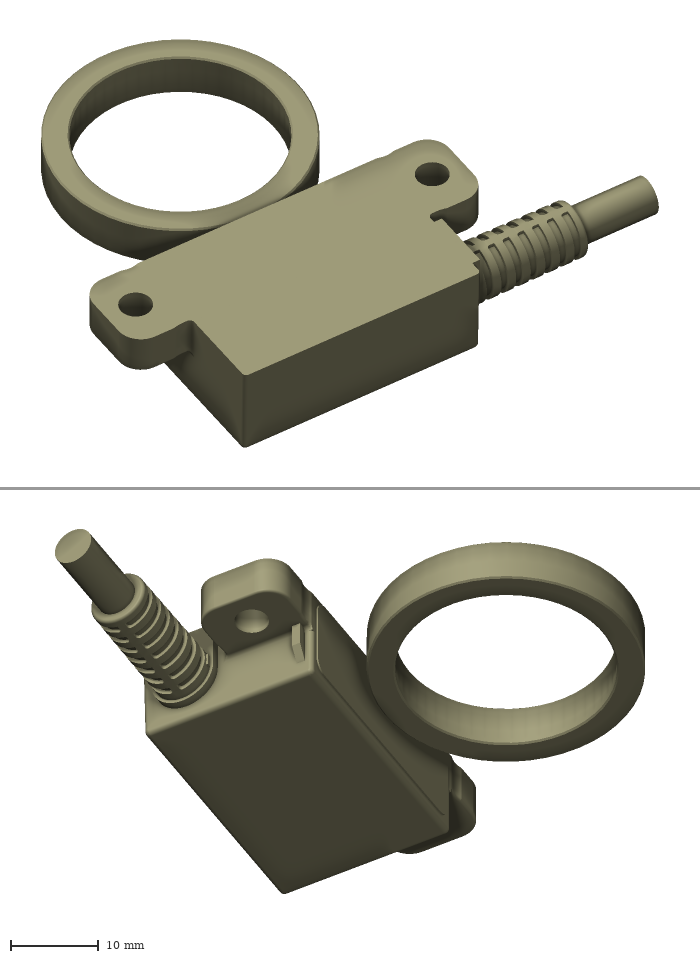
import cadquery as cq
import math


RING_OUTER_DIAMETER = 31.7
RING_INNER_DIAMETER = 25.3
RING_HEIGHT = 5.55
RING_BOTTOM = 5.4
RING_CHAMFER = 0.2

BLOCK_LEFT = 16.3
BLOCK_WIDTH = 22.3
BLOCK_HALF_LENGTH = 15.95
BLOCK_HEIGHT = 12.0
BLOCK_DRAFT = 0.25
BLOCK_CORNER_FILLET = 0.5
BLOCK_BOTTOM_FILLET = 0.65
BLOCK_RIGHT = BLOCK_LEFT + BLOCK_WIDTH

PANEL_LENGTH = 30.0
PANEL_HEIGHT = 10.45
PANEL_BOTTOM = 1.25
PANEL_THICKNESS = 0.2
PANEL_CORNER_RADIUS = 1.7

EAR_WIDTH = 11.25
EAR_THICKNESS = 4.95
EAR_SPAN = 48.0
EAR_TIP = EAR_SPAN / 2
EAR_CORNER_RADIUS = 3.0
EAR_EDGE_FILLET = 0.3
EAR_ROOT_FILLET = 0.6
EAR_RIGHT = BLOCK_LEFT + EAR_WIDTH
EAR_BOTTOM = BLOCK_HEIGHT - EAR_THICKNESS
NECK_LENGTH = 2.25
NECK_DEPTH = 0.2
NECK_OUTER = 18.4
NECK_MIDDLE = NECK_OUTER - NECK_LENGTH / 2
NECK_INNER = NECK_OUTER - NECK_LENGTH
MOUNT_HOLE_DIAMETER = 4.0
MOUNT_HOLE_SPACING = 40.05
MOUNT_HOLE_X = BLOCK_LEFT + EAR_WIDTH / 2

RIB_LEFT = 17.3
RIB_WIDTH = 1.05
RIB_DEPTH = 1.05
RIB_SLOPE_TOP = 4.05
RIB_SLOPE_BOTTOM = 2.1

CABLE_X = 32.7
CABLE_Z = 6.0
CABLE_RADIUS = 2.4
OVERALL_LENGTH = 66.2
CABLE_END = OVERALL_LENGTH - EAR_TIP
COLLAR_RADIUS = 4.05
COLLAR_LENGTH = 1.05
COLLAR_FACE = BLOCK_HALF_LENGTH + COLLAR_LENGTH
BOOT_END = 32.1
BOOT_END_RADIUS = 3.5
BOOT_BASE_RADIUS = 3.65
BOOT_CORE_RADIUS = 3.1
BOOT_END_FILLET = 0.4

GROOVE_COUNT = 7
GROOVE_WIDTH = 1.0
GROOVE_PITCH = 2 * GROOVE_WIDTH
GROOVE_END_INSET = 1.0
GROOVE_WEB = 0.9
GROOVE_CORNER_RADIUS = 0.4
GROOVE_REACH = 2 * BOOT_BASE_RADIUS

KEY_LENGTH = 0.5
KEY_HEIGHT = 1.5
KEY_PROUD = 0.2
KEY_OFFSET = 0.3


def make_ring():
    ring = (
        cq.Workplane("XY", origin=(0, 0, RING_BOTTOM))
        .circle(RING_OUTER_DIAMETER / 2)
        .circle(RING_INNER_DIAMETER / 2)
        .extrude(RING_HEIGHT)
    )
    return ring.faces("|Z").edges().chamfer(RING_CHAMFER)


def make_block():
    """Block with rounded +X corners whose +X face leans inward toward the bottom."""
    block = (
        cq.Workplane("XZ", origin=(0, BLOCK_HALF_LENGTH, 0))
        .moveTo(BLOCK_LEFT, 0)
        .lineTo(BLOCK_RIGHT - BLOCK_DRAFT, 0)
        .lineTo(BLOCK_RIGHT, BLOCK_HEIGHT)
        .lineTo(BLOCK_LEFT, BLOCK_HEIGHT)
        .close()
        .extrude(2 * BLOCK_HALF_LENGTH)
    )
    return block.edges("not (|X or |Y or <X)").fillet(BLOCK_CORNER_FILLET)


def make_ear():
    """Ear on the +Y end, running inward to the XZ plane, with a shallow neck on both sides."""
    neck_bend = (NECK_MIDDLE + NECK_OUTER) / 2
    bend_depth = 0.75 * NECK_DEPTH
    ear = (
        cq.Workplane("XY", origin=(0, 0, EAR_BOTTOM))
        .moveTo(BLOCK_LEFT, 0)
        .lineTo(BLOCK_LEFT, NECK_INNER)
        .threePointArc((BLOCK_LEFT + NECK_DEPTH, NECK_MIDDLE), (BLOCK_LEFT, NECK_OUTER))
        .lineTo(BLOCK_LEFT, EAR_TIP)
        .lineTo(EAR_RIGHT, EAR_TIP)
        .lineTo(EAR_RIGHT, NECK_OUTER)
        .threePointArc((EAR_RIGHT - bend_depth, neck_bend), (EAR_RIGHT - NECK_DEPTH, NECK_MIDDLE))
        .lineTo(EAR_RIGHT - NECK_DEPTH, 0)
        .close()
        .extrude(EAR_THICKNESS)
    )
    return ear.faces(">Y").edges("|Z").fillet(EAR_CORNER_RADIUS)


def make_panel():
    panel = (
        cq.Workplane("YZ", origin=(BLOCK_LEFT - PANEL_THICKNESS, 0, PANEL_BOTTOM + PANEL_HEIGHT / 2))
        .rect(PANEL_LENGTH, PANEL_HEIGHT)
        .extrude(PANEL_THICKNESS)
    )
    return panel.edges("|X").fillet(PANEL_CORNER_RADIUS)


def make_rib():
    """Wedge rib on the +Y face, from the ear underside down to a sloped foot."""
    rib_face = BLOCK_HALF_LENGTH + RIB_DEPTH
    return (
        cq.Workplane("YZ", origin=(RIB_LEFT, 0, 0))
        .moveTo(BLOCK_HALF_LENGTH, RIB_SLOPE_BOTTOM)
        .lineTo(rib_face, RIB_SLOPE_TOP)
        .lineTo(rib_face, EAR_BOTTOM)
        .lineTo(BLOCK_HALF_LENGTH, EAR_BOTTOM)
        .close()
        .extrude(RIB_WIDTH)
    )


def on_cable_axis(y):
    """Workplane across the cable axis at y, its normal pointing to -Y."""
    return cq.Workplane("XZ", origin=(CABLE_X, y, CABLE_Z))


def make_collar():
    """U-shaped collar: round below the cable axis, straight sided up to the top face."""
    top = BLOCK_HEIGHT - CABLE_Z
    return (
        on_cable_axis(COLLAR_FACE)
        .moveTo(-COLLAR_RADIUS, top)
        .lineTo(-COLLAR_RADIUS, 0)
        .threePointArc((0, -COLLAR_RADIUS), (COLLAR_RADIUS, 0))
        .lineTo(COLLAR_RADIUS, top)
        .close()
        .extrude(COLLAR_LENGTH)
    )


def make_groove_cutter():
    """Cutter for every groove, one row on each side of the central web."""
    core = on_cable_axis(BOOT_END).circle(BOOT_CORE_RADIUS).extrude(BOOT_END - COLLAR_FACE)
    slots = cq.Workplane()
    for side in (-1, 1):
        slot_x = CABLE_X + side * (GROOVE_WEB + GROOVE_REACH) / 2
        for index in range(GROOVE_COUNT):
            slot_y = BOOT_END - GROOVE_END_INSET - GROOVE_WIDTH / 2 - index * GROOVE_PITCH
            slot = cq.Workplane("XY").box(GROOVE_REACH, GROOVE_WIDTH, 2 * GROOVE_REACH)
            web_end = "<X" if side > 0 else ">X"
            slot = slot.faces(web_end).edges("|Z and <Y").fillet(GROOVE_CORNER_RADIUS)
            slots.add(slot.translate((slot_x, slot_y, CABLE_Z)))
    return slots.combine().cut(core)


def make_boot():
    """Tapered strain relief with side grooves and a locating key near its base."""
    boot = (
        on_cable_axis(BOOT_END)
        .circle(BOOT_END_RADIUS)
        .workplane(offset=BOOT_END - COLLAR_FACE)
        .circle(BOOT_BASE_RADIUS)
        .loft()
    )
    boot = boot.faces(">Y").edges().fillet(BOOT_END_FILLET).cut(make_groove_cutter())
    key_reach = BOOT_BASE_RADIUS + KEY_PROUD
    key = cq.Workplane("XY").box(key_reach, KEY_LENGTH, KEY_HEIGHT)
    key_y = COLLAR_FACE + KEY_OFFSET + KEY_LENGTH / 2
    return boot.union(key.translate((CABLE_X - key_reach / 2, key_y, CABLE_Z)))


def make_cable():
    return on_cable_axis(CABLE_END).circle(CABLE_RADIUS).extrude(CABLE_END - COLLAR_FACE)


def fillet_ear_roots(housing):
    """Blend each ear's inner side and underside into the end face of the block."""
    ear_middle = (BLOCK_LEFT + EAR_RIGHT) / 2
    ear_mid_height = EAR_BOTTOM + EAR_THICKNESS / 2
    for end in (-BLOCK_HALF_LENGTH, BLOCK_HALF_LENGTH):
        side_root = edges_at(housing, (EAR_RIGHT - NECK_DEPTH, end, ear_mid_height))
        under_root = edges_at(housing, (ear_middle, end, EAR_BOTTOM))
        housing = side_root.add(under_root).fillet(EAR_ROOT_FILLET)
    return housing


def fillet_ear_undersides(housing):
    """Round the lower outline of both ears, as far inward as their root fillets."""
    root_end = BLOCK_HALF_LENGTH + EAR_ROOT_FILLET
    margin = 0.05
    for side in (-1, 1):
        ends = (side * (root_end + margin), side * (EAR_TIP + margin))
        low = (BLOCK_LEFT - margin, min(ends), EAR_BOTTOM - margin)
        high = (EAR_RIGHT + margin, max(ends), EAR_BOTTOM + margin)
        outline = housing.edges(cq.selectors.BoxSelector(low, high))
        housing = outline.fillet(EAR_EDGE_FILLET)
    return housing


def make_corner_cutter():
    """Sliver that rounds the vertical -X, +Y block corner below the ear root."""
    tangent_x = BLOCK_LEFT + BLOCK_CORNER_FILLET
    tangent_y = BLOCK_HALF_LENGTH - BLOCK_CORNER_FILLET
    diagonal = BLOCK_CORNER_FILLET * math.sqrt(0.5)
    return (
        cq.Workplane("XY")
        .moveTo(BLOCK_LEFT, tangent_y)
        .threePointArc((tangent_x - diagonal, tangent_y + diagonal), (tangent_x, BLOCK_HALF_LENGTH))
        .lineTo(BLOCK_LEFT, BLOCK_HALF_LENGTH)
        .close()
        .extrude(EAR_BOTTOM - EAR_ROOT_FILLET)
    )


def edges_at(body, point, reach=0.65):
    """Edges of body whose centres lie within reach of point along every axis."""
    low = [value - reach for value in point]
    high = [value + reach for value in point]
    return body.edges(cq.selectors.BoxSelector(low, high))


def make_mount_holes():
    return (
        cq.Workplane("XY", origin=(MOUNT_HOLE_X, 0, 0))
        .rarray(0.65, MOUNT_HOLE_SPACING, 1, 2)
        .circle(MOUNT_HOLE_DIAMETER / 2)
        .extrude(BLOCK_HEIGHT)
    )


def make_housing():
    ear = make_ear()
    housing = make_block().union(ear).union(ear.mirror("XZ"))
    housing = fillet_ear_roots(housing)
    housing = fillet_ear_undersides(housing)
    corner = make_corner_cutter()
    housing = housing.cut(corner).cut(corner.mirror("XZ"))
    housing = housing.faces("<Z").edges().fillet(BLOCK_BOTTOM_FILLET)
    rib = make_rib()
    for part in (make_panel(), rib, rib.mirror("XZ"), make_collar(), make_boot(), make_cable()):
        housing = housing.union(part)
    return housing.cut(make_mount_holes())


ring = make_ring()
housing = make_housing()

result = cq.Compound.makeCompound([ring.val(), housing.val()])